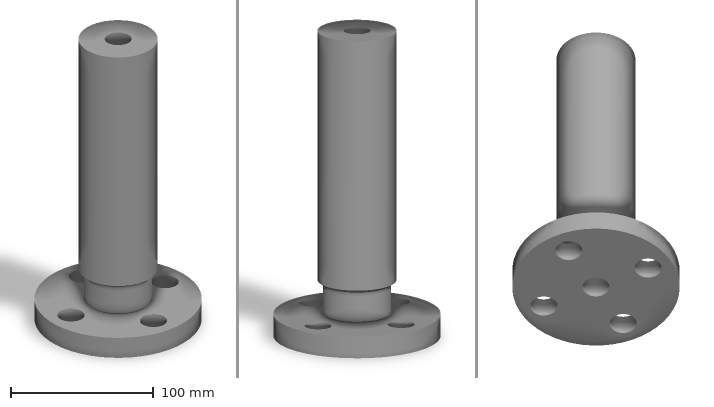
import cadquery as cq

total_length = 222.25

flange_diameter = 117.475
flange_thickness = 15.875
bolt_circle_diameter = 82.55
bolt_hole_diameter = 19.05
bolt_hole_count = 4

neck_diameter = 48.0
neck_base_chamfer = 0.8

barrel_diameter = 55.5625
barrel_bottom = 40.5
shoulder_height = 2.4

bore_diameter = 18.85


def make_body():
    """Revolve the half outline of flange, neck and barrel about Z."""
    flange_radius = flange_diameter / 2
    neck_radius = neck_diameter / 2
    barrel_radius = barrel_diameter / 2
    return (
        cq.Workplane("XZ")
        .moveTo(0, 0)
        .lineTo(flange_radius, 0)
        .lineTo(flange_radius, flange_thickness)
        .lineTo(neck_radius - neck_base_chamfer, flange_thickness)
        .lineTo(neck_radius, flange_thickness + neck_base_chamfer)
        .lineTo(neck_radius, barrel_bottom - shoulder_height)
        .lineTo(barrel_radius, barrel_bottom)
        .lineTo(barrel_radius, total_length)
        .lineTo(0, total_length)
        .close()
        .revolve(360, (0, 0, 0), (0, 1, 0))
    )


def make_bore():
    """Cylinder that clears the whole length."""
    return cq.Workplane("XY").circle(bore_diameter / 2).extrude(total_length)


def make_bolt_holes():
    """Equally spaced cylinders through the flange, the first one on +X."""
    return (
        cq.Workplane("XY")
        .polarArray(bolt_circle_diameter / 2, 0, 360, bolt_hole_count)
        .circle(bolt_hole_diameter / 2)
        .extrude(flange_thickness)
    )


result = make_body().cut(make_bore()).cut(make_bolt_holes())